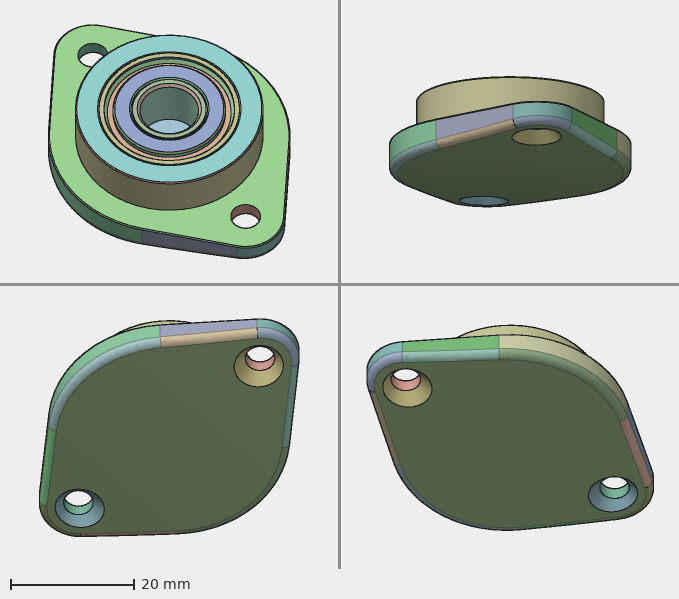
import cadquery as cq
import math

overall_height = 12.3
flange_top = 5.1
flange_length = 53.98
flange_width = 39.29
tip_radius = 6.35
middle_radius = flange_width / 2
hole_offset = flange_length / 2 - tip_radius
underside_radius = 244.0
underside_fillet = 1.3
rim_chamfer = 0.2

hole_radius = 2.4
countersink_angle = 82.0
countersink_top = 2.7

collar_radius = 15.24
bearing_radius = 11.4
pocket_chamfer = 0.25
bearing_width = 9.0
pocket_floor = overall_height - bearing_width

outer_ring_inner_radius = 10.6
channel_floor_radius = 10.05
channel_depth = 1.0
channel_slope = outer_ring_inner_radius - channel_floor_radius
shield_radius = 9.15
shield_chamfer = 0.3
seam_depth = 0.25
shield_inner_radius = 6.2
inner_ring_radius = 6.0
bore_radius = 4.76
bore_chamfer = 0.45


def flange_outline():
    """Two large and two small arcs joined by their common tangents."""
    tangent_cos = (middle_radius - tip_radius) / hole_offset
    tangent_sin = math.sqrt(1 - tangent_cos**2)
    middle_x = middle_radius * tangent_cos
    middle_y = middle_radius * tangent_sin
    tip_x = hole_offset + tip_radius * tangent_cos
    tip_y = tip_radius * tangent_sin
    return (
        cq.Workplane("XY")
        .moveTo(-middle_x, middle_y)
        .threePointArc((0, middle_radius), (middle_x, middle_y))
        .lineTo(tip_x, tip_y)
        .threePointArc((flange_length / 2, 0), (tip_x, -tip_y))
        .lineTo(middle_x, -middle_y)
        .threePointArc((0, -middle_radius), (-middle_x, -middle_y))
        .lineTo(-tip_x, -tip_y)
        .threePointArc((-flange_length / 2, 0), (-tip_x, tip_y))
        .close()
    )


def make_flange():
    plate = flange_outline().extrude(flange_top)
    dome = (
        cq.Workplane("XZ")
        .center(0, underside_radius)
        .circle(underside_radius)
        .extrude(flange_width, both=True)
    )
    plate = plate.intersect(dome)
    plate = plate.faces(">Z").edges().chamfer(rim_chamfer)
    return plate.faces("<Z").edges().fillet(underside_fillet)


def make_mounting_hole(x):
    """Half section of one hole with its countersink, turned about the hole's axis."""
    cone_growth = countersink_top * math.tan(math.radians(countersink_angle / 2))
    return (
        cq.Workplane("XZ", origin=(x, 0, 0))
        .lineTo(hole_radius + cone_growth, 0)
        .lineTo(hole_radius, countersink_top)
        .lineTo(hole_radius, flange_top)
        .lineTo(0, flange_top)
        .close()
        .revolve(360, (0, 0, 0), (0, 1, 0))
    )


def make_collar():
    return (
        cq.Workplane("XY", origin=(0, 0, pocket_floor))
        .circle(collar_radius)
        .extrude(overall_height - pocket_floor)
        .faces(">Z")
        .chamfer(rim_chamfer)
    )


def make_housing():
    pocket = cq.Workplane("XY", origin=(0, 0, pocket_floor)).circle(bearing_radius).extrude(bearing_width)
    housing = make_flange().union(make_collar()).cut(pocket)
    for x in (-hole_offset, hole_offset):
        housing = housing.cut(make_mounting_hole(x))
    pocket_mouth = cq.selectors.RadiusNthSelector(0)
    return housing.faces(">Z").edges(pocket_mouth).chamfer(pocket_chamfer)


def make_bearing():
    """Half section in radius and height, turned about the Z axis."""
    top = overall_height
    channel_floor = top - channel_depth
    return (
        cq.Workplane("XZ")
        .moveTo(bore_radius, pocket_floor)
        .lineTo(bearing_radius, pocket_floor)
        .lineTo(bearing_radius, top)
        .lineTo(outer_ring_inner_radius, top)
        .lineTo(outer_ring_inner_radius, channel_floor + channel_slope)
        .lineTo(channel_floor_radius, channel_floor)
        .lineTo(shield_radius, channel_floor)
        .lineTo(shield_radius, top - shield_chamfer)
        .lineTo(shield_radius - shield_chamfer, top)
        .lineTo(shield_inner_radius + seam_depth, top)
        .lineTo(shield_inner_radius, top - seam_depth)
        .lineTo(inner_ring_radius, top - seam_depth)
        .lineTo(inner_ring_radius, top)
        .lineTo(bore_radius + bore_chamfer, top)
        .lineTo(bore_radius, top - bore_chamfer)
        .close()
        .revolve(360, (0, 0, 0), (0, 1, 0))
    )


housing = make_housing()
bearing = make_bearing()
result = cq.Compound.makeCompound([housing.val(), bearing.val()])